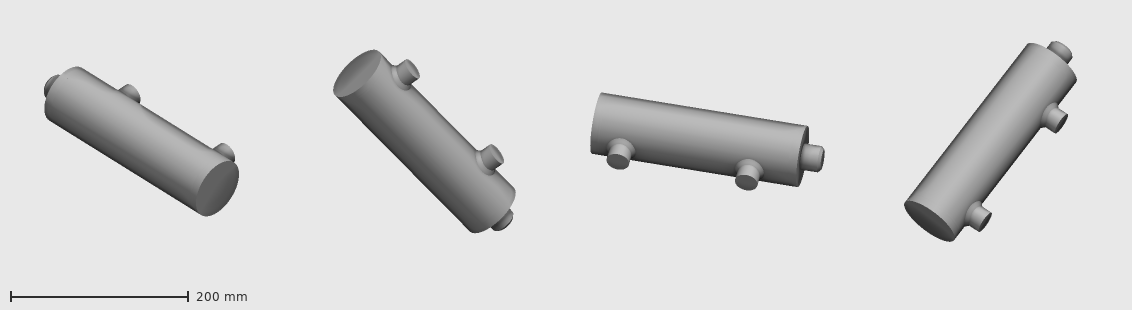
import cadquery as cq

total_length = 260
body_diameter = 70.0
body_radius = body_diameter / 2

rod_diameter = 30.0
rod_chamfer = 3.0

gland_start = 23.0
barrel_start = 33.0
seam_weld_start = 250.0
cap_start = 253.0

port_diameter = 26
port_radius = port_diameter / 2
port_reach = 86.8 - body_radius
port_stations = [76.7, 224.6]
port_weld_leg = 4.0


def disc_along_x(diameter, start, end):
    """Round bar on the cylinder axis between two stations."""
    return cq.Workplane("YZ").workplane(offset=start).circle(diameter / 2).extrude(end - start)


def port_bar(station):
    """Round bar from the cylinder axis out to the end of a port."""
    return cq.Workplane("XZ").center(station, 0).circle(port_radius).extrude(-port_reach)


def make_rod():
    """Rod filling the gland, with a chamfered tip."""
    return disc_along_x(rod_diameter, 0, barrel_start).faces("<X").chamfer(rod_chamfer)


def make_gland(rod):
    """Front end piece, bored for the rod."""
    return disc_along_x(body_diameter, gland_start, barrel_start).cut(rod)


def make_port(station, barrel):
    """Port stub whose inner end is saddled onto the barrel."""
    return port_bar(station).cut(barrel)


def make_port_weld(station, barrel, port):
    """Weld collar that follows the joint between a port and the barrel."""
    joined = barrel.union(port_bar(station))
    half_box = port_radius + port_weld_leg / 2
    joint_area = cq.selectors.BoxSelector(
        (station - half_box, 0, -half_box),
        (station + half_box, body_radius + port_weld_leg / 2, half_box),
    )
    chamfered = joined.edges(joint_area).chamfer(port_weld_leg)
    return chamfered.cut(barrel).cut(port)


rod = make_rod()
gland = make_gland(rod)
barrel = disc_along_x(body_diameter, barrel_start, seam_weld_start)
seam_weld = disc_along_x(body_diameter, seam_weld_start, cap_start)
end_cap = disc_along_x(body_diameter, cap_start, total_length)

ports = []
port_welds = []
for station in port_stations:
    port = make_port(station, barrel)
    ports.append(port.solids().val())
    port_welds.append(make_port_weld(station, barrel, port).solids().val())

result = cq.Compound.makeCompound(
    [
        *rod.vals(),
        *gland.vals(),
        *barrel.vals(),
        *seam_weld.vals(),
        *end_cap.vals(),
        *ports,
        *port_welds,
    ]
)